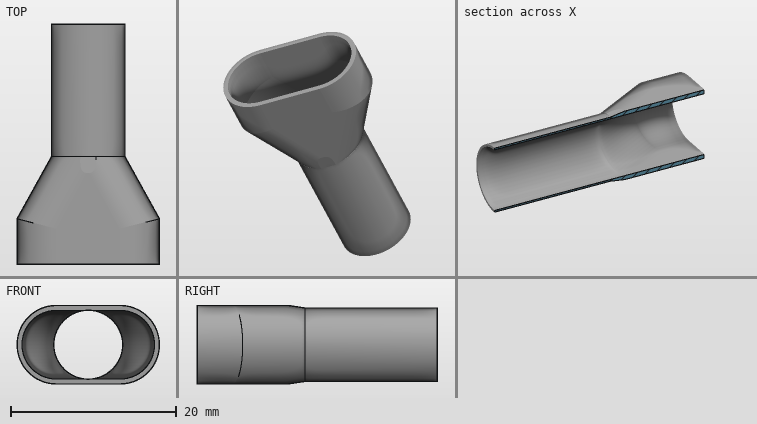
import cadquery as cq
import math


collar_width = 17.2
collar_height = 9.5
collar_length = 13.0
collar_wall = 0.6
shoulder_y = 5.5

tube_radius = 4.45
tube_wall = 0.3
tube_length = 16.0

flat_length = 2.0

outer_radius = collar_height / 2
inner_radius = outer_radius - collar_wall
bore_radius = tube_radius - tube_wall
side_axis_x = collar_width / 2 - outer_radius

side_lean = math.atan((collar_width / 2 - tube_radius) / (collar_length - shoulder_y))
axis_bend_y = shoulder_y - outer_radius * math.tan(side_lean / 2)

reach = 3 * collar_width


def straight_slab(radius):
    """Oblong prism along Y with both sides rounded."""
    slot_length = 2 * (side_axis_x + radius)
    return (
        cq.Workplane("XZ")
        .slot2D(slot_length, 2 * radius)
        .extrude(-collar_length)
    )


def leaning_slab(radius, side):
    """Slab whose rounded side leans inwards; side is +1 for +X and -1 for -X."""
    rounded_side = cq.Workplane("XZ").circle(radius).extrude(reach, both=True)
    flat_middle = (
        cq.Workplane("XY")
        .box(reach, 2 * reach, 2 * radius)
        .translate((-side * reach / 2, 0, 0))
    )
    return (
        flat_middle.union(rounded_side)
        .rotate((0, 0, 0), (0, 0, 1), side * math.degrees(side_lean))
        .translate((side * side_axis_x, axis_bend_y, 0))
    )


def funnel(radius):
    """Oblong prism narrowed towards +Y by the two leaning sides."""
    body = straight_slab(radius)
    for side in (1, -1):
        body = body.intersect(leaning_slab(radius, side))
    return body


def end_flat_envelope():
    """Side profile of the collar with its top and bottom eased down to the tube."""
    half_profile = [
        (0, outer_radius),
        (collar_length - flat_length, outer_radius),
        (collar_length, tube_radius),
    ]
    mirrored_half = [(y, -z) for y, z in reversed(half_profile)]
    return (
        cq.Workplane("YZ")
        .polyline(half_profile + mirrored_half)
        .close()
        .extrude(collar_width, both=True)
    )


def make_collar():
    bore = cq.Workplane("XZ").circle(bore_radius).extrude(-collar_length)
    shell = funnel(outer_radius).intersect(end_flat_envelope())
    return shell.cut(funnel(inner_radius)).cut(bore)


def make_tube():
    return (
        cq.Workplane("XZ", origin=(0, collar_length, 0))
        .circle(tube_radius)
        .circle(bore_radius)
        .extrude(-tube_length)
    )


collar = make_collar()
tube = make_tube()

result = cq.Compound.makeCompound([collar.solids().val(), tube.val()])